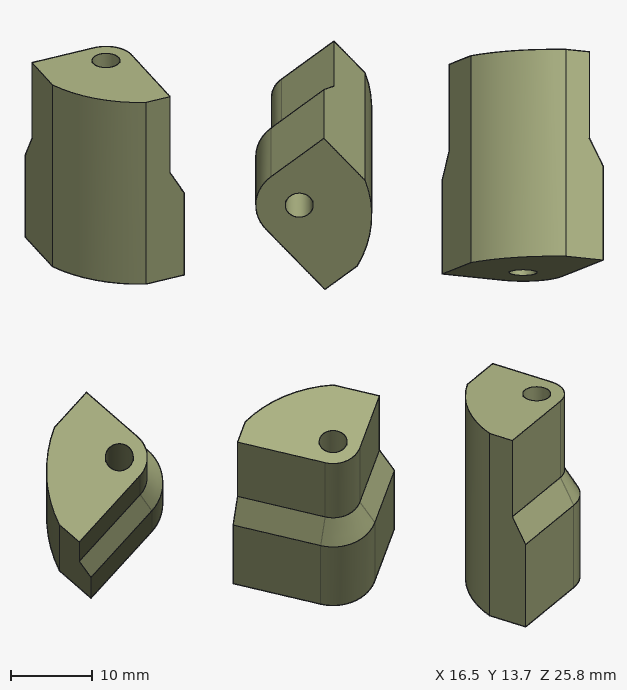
import cadquery as cq
import math

length_x = 16.49
width_y = 13.73
height = 25.8

shoulder_bottom = 11.65
shoulder_top = 15.02
step = 1.9

corner_radius = 5.31
hole_diameter = 3.4
corner_x = corner_radius
corner_y = width_y - corner_radius

front_flat = 7.82
right_flat = 5.15
curve_radius = 15.48


def arc_midpoint(start, end, radius):
    """Middle of the shorter arc that bulges to the right of start -> end."""
    dx = end[0] - start[0]
    dy = end[1] - start[1]
    chord = math.hypot(dx, dy)
    bulge = radius - math.sqrt(radius**2 - (chord / 2) ** 2)
    return (
        (start[0] + end[0]) / 2 + bulge * dy / chord,
        (start[1] + end[1]) / 2 - bulge * dx / chord,
    )


def body_section(inset, z):
    """Closed outline at height z, with its left and back sides moved in by inset."""
    radius = corner_radius - inset
    back = width_y - inset
    diagonal = radius * math.sqrt(0.5)
    curve_start = (front_flat, 0)
    curve_end = (length_x, width_y - right_flat)
    return (
        cq.Workplane("XY", origin=(0, 0, z))
        .moveTo(inset, 0)
        .lineTo(*curve_start)
        .threePointArc(arc_midpoint(curve_start, curve_end, curve_radius), curve_end)
        .lineTo(length_x, back)
        .lineTo(corner_x, back)
        .threePointArc((corner_x - diagonal, corner_y + diagonal), (inset, corner_y))
        .close()
    )


lower_body = body_section(0, 0).extrude(shoulder_bottom)
upper_body = body_section(step, shoulder_top).extrude(height - shoulder_top)

shoulder = cq.Workplane(
    cq.Solid.makeLoft(
        [
            body_section(0, shoulder_bottom).val(),
            body_section(step, shoulder_top).val(),
        ],
        True,
    )
)

hole = cq.Workplane("XY").center(corner_x, corner_y).circle(hole_diameter / 2).extrude(height)

result = lower_body.union(shoulder).union(upper_body).cut(hole)